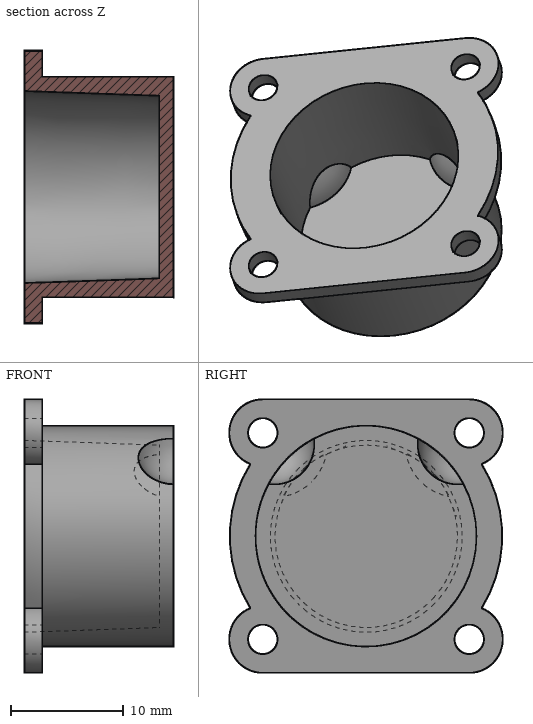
import cadquery as cq
import math

flange_size = 24.4
flange_thickness = 1.6
flange_disc_radius = 12.15
lug_radius = 3.0
screw_hole_diameter = 2.6
screw_offset = flange_size / 2 - lug_radius

total_length = 13.3
barrel_radius = 9.85
wall = 1.3
bore_mouth_radius = barrel_radius - wall
bore_draft_angle = 2.0
bore_depth = total_length - wall

dent_radius = 3.6
dent_center_radius = 11.6
dent_angles = (45, 135)


def make_flange():
    """Round disc joined to a flat-topped plate with a rounded lug at each corner."""
    disc = cq.Workplane("YZ").circle(flange_disc_radius).extrude(flange_thickness)
    plate = cq.Workplane("YZ").rect(2 * screw_offset, flange_size).extrude(flange_thickness)
    lugs = (
        cq.Workplane("YZ")
        .rect(2 * screw_offset, 2 * screw_offset, forConstruction=True)
        .vertices()
        .circle(lug_radius)
        .extrude(flange_thickness)
    )
    return disc.union(plate).union(lugs)


def make_screw_holes():
    """Four through holes, concentric with the lugs."""
    return (
        cq.Workplane("YZ")
        .rect(2 * screw_offset, 2 * screw_offset, forConstruction=True)
        .vertices()
        .circle(screw_hole_diameter / 2)
        .extrude(flange_thickness)
    )


def make_bore():
    """Blind bore that narrows from the flange face to the floor."""
    return cq.Workplane("YZ").circle(bore_mouth_radius).extrude(bore_depth, taper=bore_draft_angle)


def make_spheres(radius):
    """One sphere per dent, centred in the plane of the closed end."""
    spheres = cq.Workplane("YZ")
    for angle in dent_angles:
        center_y = dent_center_radius * math.cos(math.radians(angle))
        center_z = dent_center_radius * math.sin(math.radians(angle))
        sphere = cq.Workplane("XY").sphere(radius).translate((total_length, center_y, center_z))
        spheres = spheres.add(sphere)
    return spheres.combine()


barrel = cq.Workplane("YZ").circle(barrel_radius).extrude(total_length)

cavity = make_bore().cut(make_spheres(dent_radius + wall))

result = (
    make_flange()
    .union(barrel)
    .cut(cavity)
    .cut(make_screw_holes())
    .cut(make_spheres(dent_radius))
)